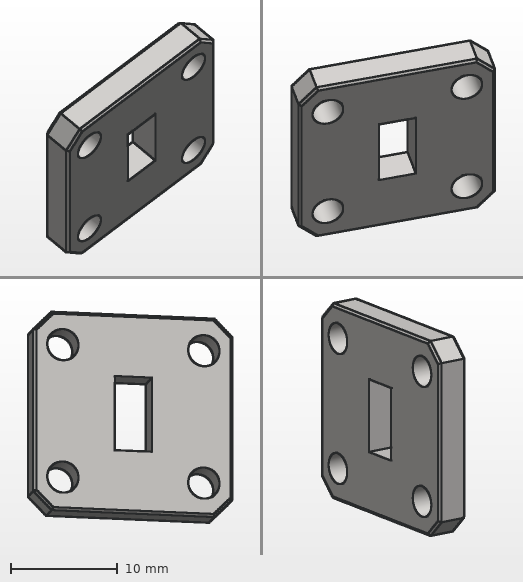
import cadquery as cq

side = 19.05
thickness = 3.07
corner_cut = 1.75
edge_chamfer = 0.25

window_width = 3.56
window_height = 7.1

hole_diameter = 2.97
hole_spacing_y = 13.47
hole_spacing_z = 12.7


def make_plate():
    """Square plate with cut corners and both face outlines chamfered."""
    plate = cq.Workplane("YZ").rect(side, side).extrude(thickness / 2, both=True)
    plate = plate.edges("|X").chamfer(corner_cut)
    return plate.faces("<X or >X").chamfer(edge_chamfer)


def make_window():
    return cq.Workplane("XY").box(thickness, window_width, window_height)


def make_bolt_holes():
    return (
        cq.Workplane("YZ")
        .rarray(hole_spacing_y, hole_spacing_z, 2, 2)
        .circle(hole_diameter / 2)
        .extrude(thickness / 2, both=True)
    )


result = make_plate().cut(make_window()).cut(make_bolt_holes())